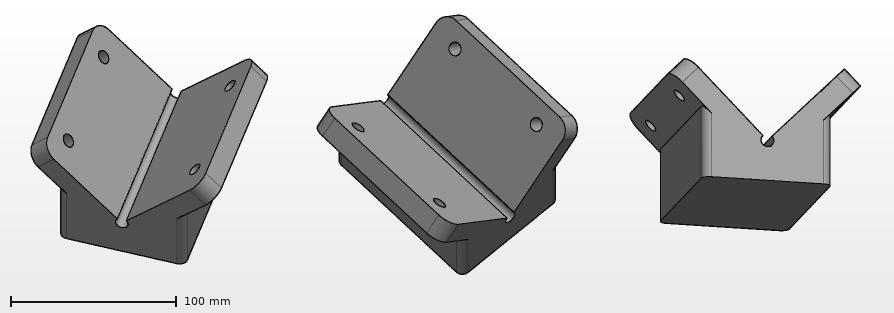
import cadquery as cq
import math

width = 120.0
length = 112.0
height = 75.0

base_width = 80.0
plate_thickness = 14.2
relief_radius = 4.0
plate_corner_radius = 10.0
base_corner_radius = 5.0

hole_diameter = 8.4
hole_spacing = 72.0
hole_edge_distance = 14.2

half_width = width / 2
plate_offset = plate_thickness / math.sqrt(2)
inner_tip_x = half_width - plate_offset
outer_tip_z = height - plate_offset
valley_z = height - inner_tip_x


def extrude_along_y(outline):
    """Extrude an XZ outline over the full length, centred on Y = 0."""
    return outline.extrude(length / 2, both=True)


def make_base():
    """Block under the V, with rounded vertical edges."""
    block = cq.Workplane("XY").box(base_width, length, height, centered=(True, True, False))
    return block.edges("|Z").fillet(base_corner_radius)


def make_v_cut():
    """Space above the sloping inner faces."""
    return extrude_along_y(
        cq.Workplane("XZ").polyline(
            [(0, valley_z), (height, valley_z + height), (-height, valley_z + height)]
        ).close()
    )


def make_plate(side):
    """Sloping plate on one side (-1 or 1), rounded at its two upper corners."""
    plate = extrude_along_y(
        cq.Workplane("XZ").polyline(
            [
                (0, valley_z),
                (side * inner_tip_x, height),
                (side * half_width, outer_tip_z),
                (side * plate_offset, valley_z - plate_offset),
            ]
        ).close()
    )
    inward = cq.Vector(-side, 0, 1)
    tip_edges = plate.faces(cq.selectors.DirectionMinMaxSelector(cq.Vector(side, 0, 1)))
    return tip_edges.edges(cq.selectors.ParallelDirSelector(inward)).fillet(plate_corner_radius)


def make_hole(side, hole_y):
    """Cylinder running square through the plate from its inner face."""
    hole_x = inner_tip_x - hole_edge_distance * math.sqrt(0.5)
    start = cq.Vector(side * hole_x, hole_y, valley_z + hole_x)
    outward = cq.Vector(side, 0, -1)
    return cq.Workplane(obj=cq.Solid.makeCylinder(hole_diameter / 2, plate_thickness, start, outward))


relief = extrude_along_y(cq.Workplane("XZ").center(0, valley_z).circle(relief_radius))

result = make_base().cut(make_v_cut())
for side in (-1, 1):
    result = result.union(make_plate(side))
result = result.cut(relief)
for side in (-1, 1):
    for hole_y in (-hole_spacing / 2, hole_spacing / 2):
        result = result.cut(make_hole(side, hole_y))